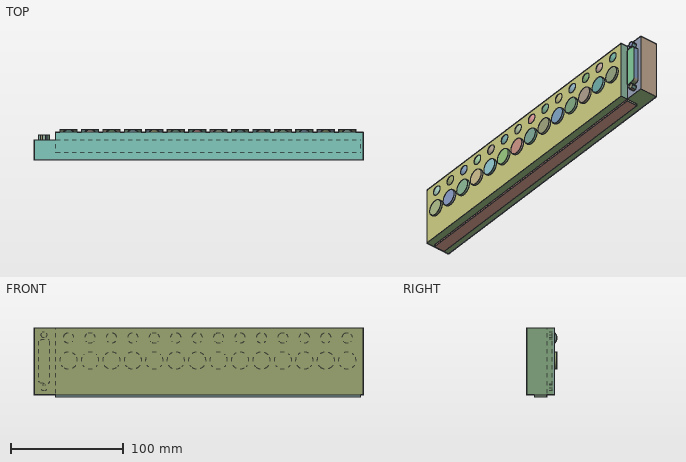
import cadquery as cq
import math

LENGTH = 292.0
BODY_DEPTH = 25.0
BODY_HEIGHT = 59.5
STEP_LENGTH = 19.0
STEP_DEPTH = 18.0
WALL = 0.8
CORNER_RADIUS = WALL

STRIP_HEIGHT = 2.0
STRIP_END_GAP = 2.5
STRIP_FRONT = 7.0

BUTTON_COUNT = 14
BUTTON_PITCH = 19.0
BUTTON_FIRST_X = 30.6
BUTTON_Z = 30.5
BUTTON_DIAMETER = 15.3
BUTTON_HEIGHT = 2.0

LAMP_RISE = 20.0
LAMP_RADIUS = 4.6
LAMP_HEIGHT = BUTTON_HEIGHT

CONNECTOR_X = 8.8
CONNECTOR_Z = BODY_HEIGHT / 2
CONNECTOR_HEIGHT = 4.5
SHELL_WIDTH = 10.0
SHELL_LONG_SIDE = 40.8
SHELL_SHORT_SIDE = 37.4
SHELL_RADIUS = 2.6
JACKSCREW_SPACING = 47.0
JACKSCREW_FLATS = 5.0
HEX_SIDES = 6
HEX_CORNERS_PER_FLATS = 2 / 3**0.5


def back_plane(x, y, z):
    """Plane facing the back: local X along +X, local Y along -Z, normal along +Y."""
    return cq.Workplane(cq.Plane(origin=(x, y, z), xDir=(1, 0, 0), normal=(0, 1, 0)))


def stepped_block(inset):
    """Stepped box, pulled in from every side wall except the left end."""
    right = LENGTH - inset
    back = BODY_DEPTH - inset
    step_wall = STEP_LENGTH + inset
    step_back = STEP_DEPTH - inset
    outline = [
        (0, inset),
        (right, inset),
        (right, back),
        (step_wall, back),
        (step_wall, step_back),
        (0, step_back),
    ]
    return cq.Workplane("XY").polyline(outline).close().extrude(BODY_HEIGHT)


def housing():
    """Thin cover with rounded right-hand corners, filled flush by a solid core."""
    outside = stepped_block(0).faces(">X").edges("|Z").fillet(CORNER_RADIUS)
    core = stepped_block(WALL)
    return outside.cut(core).union(core, clean=False)


def strip():
    length = LENGTH - STRIP_END_GAP - STEP_LENGTH
    depth = STEP_DEPTH - STRIP_FRONT
    corner = (STEP_LENGTH, STRIP_FRONT, -STRIP_HEIGHT)
    return cq.Workplane("XY").box(length, depth, STRIP_HEIGHT, centered=False).translate(corner)


def button(x):
    seat = back_plane(x, BODY_DEPTH, BUTTON_Z)
    return seat.circle(BUTTON_DIAMETER / 2).extrude(BUTTON_HEIGHT)


def lamp(x):
    """Shallow spherical dome, revolved about its axis along Y."""
    sphere_radius = (LAMP_RADIUS**2 + LAMP_HEIGHT**2) / (2 * LAMP_HEIGHT)
    mid_angle = math.asin(LAMP_RADIUS / sphere_radius) / 2
    drop_to_centre = sphere_radius - LAMP_HEIGHT
    mid_point = (
        sphere_radius * math.sin(mid_angle),
        sphere_radius * math.cos(mid_angle) - drop_to_centre,
    )
    profile = cq.Workplane("XY").lineTo(LAMP_RADIUS, 0).threePointArc(mid_point, (0, LAMP_HEIGHT)).close()
    dome = profile.revolve(360, (0, 0, 0), (0, 1, 0))
    return dome.translate((x, BODY_DEPTH, BUTTON_Z + LAMP_RISE))


def connector_shell():
    """D-shaped block, its long side towards +X."""
    half_width = SHELL_WIDTH / 2
    outline = [
        (-half_width, -SHELL_SHORT_SIDE / 2),
        (half_width, -SHELL_LONG_SIDE / 2),
        (half_width, SHELL_LONG_SIDE / 2),
        (-half_width, SHELL_SHORT_SIDE / 2),
    ]
    seat = back_plane(CONNECTOR_X, STEP_DEPTH, CONNECTOR_Z)
    shell = seat.polyline(outline).close().extrude(CONNECTOR_HEIGHT)
    return shell.edges("|Y").fillet(SHELL_RADIUS)


def jackscrew(side):
    """Hexagon beyond one end of the shell; side is -1 for the lower, +1 for the upper."""
    seat = back_plane(CONNECTOR_X, STEP_DEPTH, CONNECTOR_Z + side * JACKSCREW_SPACING / 2)
    return seat.polygon(HEX_SIDES, JACKSCREW_FLATS * HEX_CORNERS_PER_FLATS).extrude(CONNECTOR_HEIGHT)


attachments = [strip(), connector_shell(), jackscrew(-1), jackscrew(1)]
for index in range(BUTTON_COUNT):
    button_x = BUTTON_FIRST_X + index * BUTTON_PITCH
    attachments += [button(button_x), lamp(button_x)]

result = housing()
for attachment in attachments:
    result = result.union(attachment, clean=False)